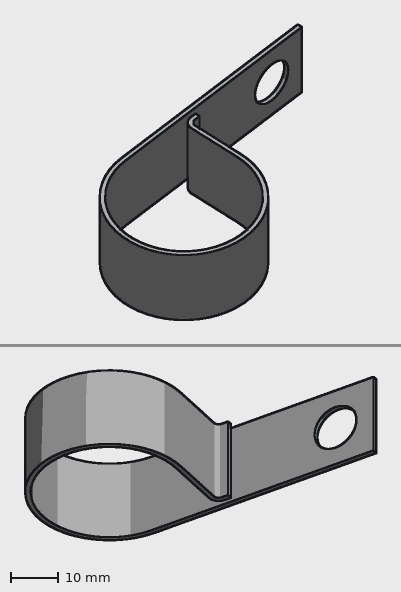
import cadquery as cq
import math

total_length = 73.4
width = 19.0
loop_diameter = 35.75
thickness = 1.2
hole_diameter = 10.4
lip_gap = 1.25
lip_bend_inner_radius = 1.25
lip_height = 4.0

outer_radius = loop_diameter / 2
inner_radius = outer_radius - thickness
strap_end_y = total_length - outer_radius
lip_left_x = -inner_radius + lip_gap
lip_right_x = lip_left_x + thickness
lip_tip_y = inner_radius + lip_height
bend_outer_radius = lip_bend_inner_radius + thickness
bend_center_x = lip_left_x + bend_outer_radius
bend_center_y = inner_radius + bend_outer_radius
hole_y = strap_end_y - width / 2


def point_on_arc(center_x, center_y, radius, angle):
    """Point at an angle in degrees, counterclockwise from +X."""
    turn = math.radians(angle)
    return (center_x + radius * math.cos(turn), center_y + radius * math.sin(turn))


def make_band():
    """Bent strip: long strap, three-quarter loop, short leg and turned-out lip."""
    return (
        cq.Workplane("XY")
        .moveTo(-outer_radius, strap_end_y)
        .lineTo(-outer_radius, 0)
        .threePointArc(point_on_arc(0, 0, outer_radius, -45), (0, outer_radius))
        .lineTo(bend_center_x, outer_radius)
        .threePointArc(
            point_on_arc(bend_center_x, bend_center_y, lip_bend_inner_radius, 225),
            (lip_right_x, bend_center_y),
        )
        .lineTo(lip_right_x, lip_tip_y)
        .lineTo(lip_left_x, lip_tip_y)
        .lineTo(lip_left_x, bend_center_y)
        .threePointArc(
            point_on_arc(bend_center_x, bend_center_y, bend_outer_radius, 225),
            (bend_center_x, inner_radius),
        )
        .lineTo(0, inner_radius)
        .threePointArc(point_on_arc(0, 0, inner_radius, -45), (-inner_radius, 0))
        .lineTo(-inner_radius, strap_end_y)
        .close()
        .extrude(width)
    )


def make_strap_hole():
    """Cylinder through the strap only, centred across its width."""
    return (
        cq.Workplane("YZ", origin=(-outer_radius, hole_y, width / 2))
        .circle(hole_diameter / 2)
        .extrude(thickness)
    )


result = make_band().cut(make_strap_hole())